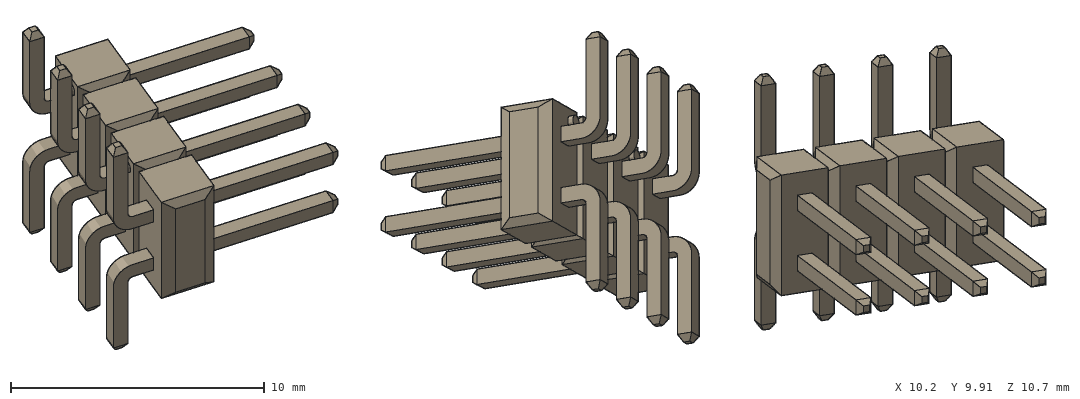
import cadquery as cq

PIN_COLUMNS = 4
PITCH = 2.54
OVERALL_HEIGHT = 10.67

BODY_HEIGHT = 2 * PITCH
BODY_DEPTH = 2.3
BEVEL_X = PITCH / 10
BEVEL_Y = PITCH / 5
BEVEL_Z = 0.34

PIN_WIDTH = 0.64
REAR_LENGTH = 5.85
FRONT_REACH = 1.76
BEND_INNER_RADIUS = 0.21
BEND_OUTER_RADIUS = BEND_INNER_RADIUS + PIN_WIDTH
TIP_LENGTH = 0.3
TIP_WIDTH = 0.28

PEG_DIAMETER = 0.5
PEG_LENGTH = 0.23
PEG_OFFSET_X = 0.5
PEG_OFFSET_Z = 2.0

FRONT_Y = -BODY_DEPTH / 2
REAR_Y = BODY_DEPTH / 2
COLUMN_XS = [(i - (PIN_COLUMNS - 1) / 2) * PITCH for i in range(PIN_COLUMNS)]


def block_end():
    """Tapered end of a block, starting on the YZ plane and narrowing toward +X."""
    return (
        cq.Workplane("YZ")
        .rect(BODY_DEPTH, BODY_HEIGHT)
        .workplane(offset=BEVEL_X)
        .rect(BODY_DEPTH - 2 * BEVEL_Y, BODY_HEIGHT - 2 * BEVEL_Z)
        .loft(combine=True)
    )


def housing_block():
    """One pitch-wide block, bevelled on all four sides at both X ends."""
    straight = PITCH - 2 * BEVEL_X
    right_end = block_end().translate((straight / 2, 0, 0))
    left_end = right_end.mirror("YZ")
    return cq.Workplane("XY").box(straight, BODY_DEPTH, BODY_HEIGHT).union(right_end).union(left_end)


def pin_tip(plane):
    """Truncated pyramid standing on the given plane."""
    return (
        cq.Workplane(plane)
        .rect(PIN_WIDTH, PIN_WIDTH)
        .workplane(offset=TIP_LENGTH)
        .rect(TIP_WIDTH, TIP_WIDTH)
        .loft(combine=True)
    )


def upper_pin():
    """Pin of the upper row: straight to the rear, bent upward in front, centred on X = 0."""
    row_z = PITCH / 2
    low_z = row_z - PIN_WIDTH / 2
    high_z = row_z + PIN_WIDTH / 2
    outer_y = FRONT_Y - FRONT_REACH
    inner_y = outer_y + PIN_WIDTH
    bend_center = (outer_y + BEND_OUTER_RADIUS, low_z + BEND_OUTER_RADIUS)
    rear_tip_y = REAR_Y + REAR_LENGTH - TIP_LENGTH
    top_tip_z = OVERALL_HEIGHT / 2 - TIP_LENGTH
    diagonal = 0.5 ** 0.5

    def bend_middle(radius):
        return (bend_center[0] - radius * diagonal, bend_center[1] - radius * diagonal)

    shaft = (
        cq.Workplane("YZ")
        .moveTo(rear_tip_y, low_z)
        .lineTo(bend_center[0], low_z)
        .threePointArc(bend_middle(BEND_OUTER_RADIUS), (outer_y, bend_center[1]))
        .lineTo(outer_y, top_tip_z)
        .lineTo(inner_y, top_tip_z)
        .lineTo(inner_y, bend_center[1])
        .threePointArc(bend_middle(BEND_INNER_RADIUS), (bend_center[0], high_z))
        .lineTo(rear_tip_y, high_z)
        .close()
        .extrude(PIN_WIDTH / 2, both=True)
    )
    rear_tip = pin_tip("ZX").translate((0, rear_tip_y, row_z))
    top_tip = pin_tip("XY").translate((0, (outer_y + inner_y) / 2, top_tip_z))
    return shaft.union(rear_tip).union(top_tip)


def peg():
    """Round peg standing on the front face."""
    return cq.Workplane("XZ", origin=(0, FRONT_Y, 0)).circle(PEG_DIAMETER / 2).extrude(PEG_LENGTH)


block = housing_block()
top_pin = upper_pin()
bottom_pin = top_pin.mirror("XY")

result = cq.Workplane("XY")
for x in COLUMN_XS:
    result = result.union(block.translate((x, 0, 0)))

for column, x in enumerate(COLUMN_XS):
    result = result.union(top_pin.translate((x, 0, 0))).union(bottom_pin.translate((x, 0, 0)))
    side = 1 if column % 2 == 0 else -1
    result = result.union(peg().translate((x + side * PEG_OFFSET_X, 0, side * PEG_OFFSET_Z)))